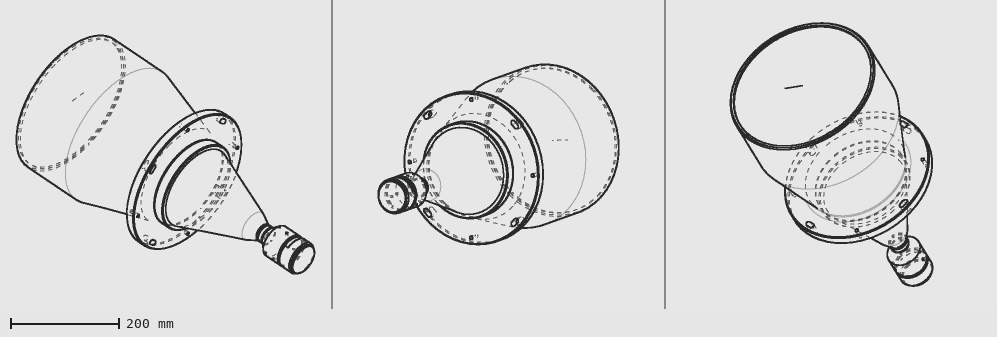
import cadquery as cq


barrel_diameter = 286.0
barrel_radius = barrel_diameter / 2
barrel_end = 129.0
barrel_chamfer = 2.5
window_radius = 136.0
window_recess = 5.0

waist_radius = 100.0
waist_start = 278.0
waist_end = 281.5

flange_radius = barrel_radius
flange_start = 288.5
flange_end = 308.0
flange_chamfer = 2.0
bolt_circle_radius = 130.5
hole_count = 4
slot_angle = 45
slot_length = 18.0
slot_width = 9.0
pin_hole_diameter = 6.0

collar_radius = 90.0
collar_end = 331.0
collar_chamfer = 2.0
relief_width = 2.5
relief_depth = 0.5

rear_cone_radius = 81.5
taper_break = 478.0
taper_break_radius = 30.0
rear_cone_end = 503.0

neck_radius = 17.5
neck_groove_radius = 16.0
neck_start = 507.0
undercut_start = 516.5
undercut_radius = 17.0
neck_end = 519.0

head_diameter = 65.0
head_radius = head_diameter / 2
head_start = 536.5
head_joint = 557.0
head_groove_start = 573.5
head_groove_end = 576.5
head_groove_radius = 30.0
head_edge_chamfer = 2.0
head_shoulder = 603.5
head_end_radius = 29.0
head_end_start = 606.0
head_end_chamfer = 0.5
total_length = 609.5

band_end = 586.5
band_depth = 0.5
band_start_angle = 15
band_sweep = 108

screw_count = 3
screw_depth = 3.5
screw_diameter = 3.5
screw_center_offset = 2.5
front_screw_angle = 77
rear_screw_angle = 80


def turned_body():
    window_sphere_radius = (window_radius**2 + window_recess**2) / (2 * window_recess)
    fillet_radius = flange_start - waist_end
    outline = (
        cq.Workplane("XY")
        .moveTo(0, 0)
        .radiusArc((window_recess, window_radius), -window_sphere_radius)
        .lineTo(0, window_radius)
        .lineTo(0, barrel_radius - barrel_chamfer)
        .lineTo(barrel_chamfer, barrel_radius)
        .lineTo(barrel_end, barrel_radius)
        .lineTo(waist_start, waist_radius)
        .lineTo(waist_end, waist_radius)
        .radiusArc((flange_start, waist_radius + fillet_radius), -fillet_radius)
        .lineTo(flange_start, flange_radius - flange_chamfer)
        .lineTo(flange_start + flange_chamfer, flange_radius)
        .lineTo(flange_end - flange_chamfer, flange_radius)
        .lineTo(flange_end, flange_radius - flange_chamfer)
        .lineTo(flange_end, collar_radius - relief_depth)
        .lineTo(flange_end + relief_width, collar_radius - relief_depth)
        .lineTo(flange_end + relief_width, collar_radius)
        .lineTo(collar_end - collar_chamfer, collar_radius)
        .lineTo(collar_end, collar_radius - collar_chamfer)
        .lineTo(collar_end, rear_cone_radius)
        .lineTo(taper_break, taper_break_radius)
        .lineTo(rear_cone_end, neck_radius)
        .lineTo(rear_cone_end, neck_groove_radius)
        .lineTo(neck_start, neck_groove_radius)
        .lineTo(neck_start, neck_radius)
        .lineTo(undercut_start, neck_radius)
        .lineTo(undercut_start, undercut_radius)
        .lineTo(neck_end, undercut_radius)
        .lineTo(head_start, head_radius)
        .lineTo(head_groove_start, head_radius)
        .lineTo(head_groove_start, head_groove_radius)
        .lineTo(head_groove_end, head_groove_radius)
        .lineTo(head_groove_end, head_radius - head_edge_chamfer)
        .lineTo(head_groove_end + head_edge_chamfer, head_radius)
        .lineTo(head_shoulder, head_radius)
        .lineTo(head_end_start, head_radius - (head_end_start - head_shoulder))
        .lineTo(head_end_start, head_end_radius)
        .lineTo(total_length - head_end_chamfer, head_end_radius)
        .lineTo(total_length, head_end_radius - head_end_chamfer)
        .lineTo(total_length, 0)
        .close()
    )
    return outline.revolve(360, (0, 0, 0), (1, 0, 0))


def flange_positions(first_angle):
    return cq.Workplane("YZ", origin=(flange_start, 0, 0)).polarArray(
        bolt_circle_radius, first_angle, 360, hole_count
    )


def flange_slots():
    slots = flange_positions(slot_angle).slot2D(slot_length, slot_width, 90)
    return slots.extrude(flange_end - flange_start)


def flange_pin_holes():
    holes = flange_positions(0).circle(pin_hole_diameter / 2)
    return holes.extrude(flange_end - flange_start)


def screw_holes(edge, first_angle):
    hole = (
        cq.Workplane("XZ", origin=(edge + screw_center_offset, head_radius, 0))
        .circle(screw_diameter / 2)
        .extrude(screw_depth)
    )
    holes = cq.Workplane("XY")
    for index in range(screw_count):
        angle = first_angle + index * 360 / screw_count
        holes = holes.add(hole.rotate((0, 0, 0), (1, 0, 0), angle))
    return holes.combine()


def head_band():
    band = (
        cq.Workplane("XY")
        .moveTo(head_groove_end, head_radius - band_depth)
        .lineTo(band_end, head_radius - band_depth)
        .lineTo(band_end, head_radius + band_depth)
        .lineTo(head_groove_end, head_radius + band_depth)
        .close()
        .revolve(band_sweep, (0, 0, 0), (1, 0, 0))
    )
    return band.rotate((0, 0, 0), (1, 0, 0), band_start_angle)


result = turned_body()
result = result.cut(flange_slots())
result = result.cut(flange_pin_holes())
result = result.cut(screw_holes(head_start, front_screw_angle))
result = result.cut(screw_holes(head_joint, rear_screw_angle))
result = result.cut(head_band())